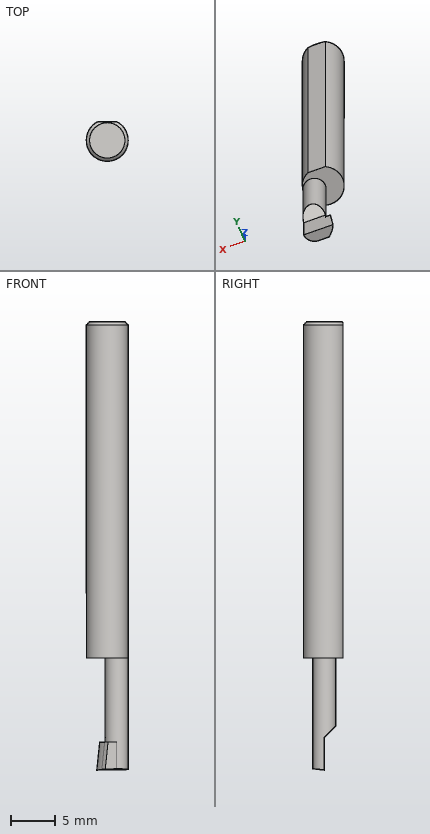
import cadquery as cq
import math

overall_length = 50.8
shank_diameter = 4.76
shank_length = 38.1
flat_offset = 2.13
top_bevel = 0.38

neck_diameter = 2.64

notch_height = 3.7
notch_run_out_angle = 45

tip_height = 3.2
tip_lean = 0.33
cutting_corner_x = -1.2
flank_end_x = -0.62
flank_end_y = -0.93
flank_bulge = 0.05
heel_x = -0.24

relief_angle_along_edge = 1
relief_angle_behind_edge = 6

shank_radius = shank_diameter / 2
neck_radius = neck_diameter / 2
neck_x = shank_radius - neck_radius
shank_bottom = overall_length - shank_length


def make_shank():
    """Flatted round bar with a bevelled top rim."""
    bar = (
        cq.Workplane("XY")
        .workplane(offset=shank_bottom)
        .circle(shank_radius)
        .extrude(shank_length)
        .faces(">Z")
        .chamfer(top_bevel)
    )
    beyond_flat = (
        cq.Workplane("XY")
        .workplane(offset=shank_bottom)
        .center(0, flat_offset + shank_radius)
        .rect(shank_diameter, shank_diameter)
        .extrude(shank_length)
    )
    return bar.cut(beyond_flat)


def make_neck():
    """Round neck whose +Y half is notched away down to the bottom end."""
    bar = (
        cq.Workplane("XY")
        .center(neck_x, 0)
        .circle(neck_radius)
        .extrude(shank_bottom)
    )
    run_out = neck_diameter * math.tan(math.radians(notch_run_out_angle))
    notch = (
        cq.Workplane("YZ")
        .lineTo(0, notch_height)
        .lineTo(neck_diameter, notch_height + run_out)
        .lineTo(neck_diameter, 0)
        .close()
        .extrude(shank_diameter, both=True)
    )
    return bar.cut(notch)


def draw_tip_outline(plane, shift):
    """Closed tip outline, with its cutting side moved along X by shift."""
    corner_x = cutting_corner_x + shift
    end_x = flank_end_x + shift
    flank_length = math.hypot(end_x - corner_x, flank_end_y)
    bulge_x = (corner_x + end_x) / 2 + flank_bulge * flank_end_y / flank_length
    bulge_y = flank_end_y / 2 - flank_bulge * (end_x - corner_x) / flank_length
    return (
        plane.moveTo(corner_x, 0)
        .threePointArc((bulge_x, bulge_y), (end_x, flank_end_y))
        .lineTo(heel_x + shift, -neck_radius)
        .lineTo(neck_x, -neck_radius)
        .lineTo(neck_x, 0)
        .close()
    )


def make_tip():
    """Leaning cutter with a bulged flank and a heel face tangent to the neck."""
    bottom = draw_tip_outline(cq.Workplane("XY"), 0)
    top = draw_tip_outline(bottom.workplane(offset=tip_height), tip_lean)
    return top.loft(ruled=True)


def make_end_relief():
    """Tilted block whose top face trims the end, touching the cutting corner."""
    size = shank_length
    return (
        cq.Workplane("XY")
        .box(size, size, size, centered=(True, True, False))
        .translate((0, 0, -size))
        .rotate((0, 0, 0), (1, 0, 0), -relief_angle_behind_edge)
        .rotate((0, 0, 0), (0, 1, 0), -relief_angle_along_edge)
        .translate((cutting_corner_x, 0, 0))
    )


result = make_shank().union(make_neck()).union(make_tip()).cut(make_end_relief())